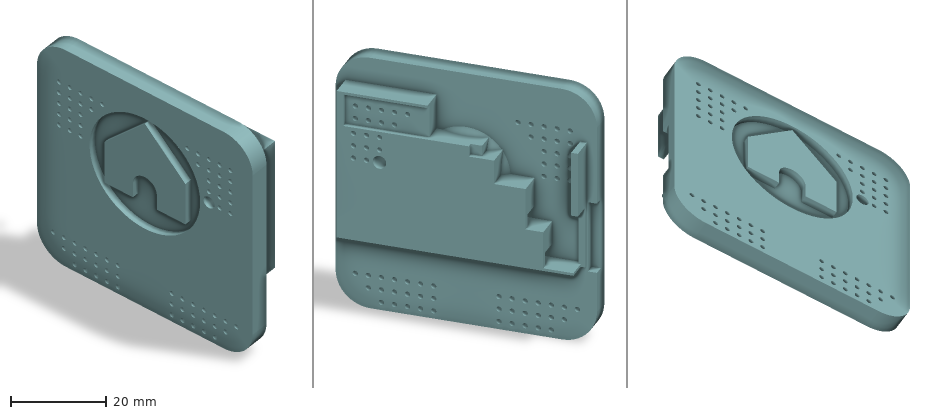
import cadquery as cq

PLATE_WIDTH = 58.5
PLATE_HEIGHT = 59.0
PLATE_THICKNESS = 4.6
CORNER_RADIUS = 7.8
CENTER_X = PLATE_WIDTH / 2

RECESS_DIAMETER = 30.0
RECESS_DEPTH = 1.8
RECESS_Z = 36.5
HOUSE_HALF_WIDTH = 11.0
HOUSE_BASE_Z = 28.4
HOUSE_WALL_HEIGHT = 11.0
HOUSE_EAVES_Z = HOUSE_BASE_Z + HOUSE_WALL_HEIGHT
HOUSE_APEX_Z = 50.1
DOOR_RADIUS = 3.25
DOOR_ARCH_Z = 32.3

HOLE_DIAMETER = 1.2
HOLE_PITCH = PLATE_WIDTH / 20
UPPER_ROW_Z = 49.4
UPPER_OUTER_OFFSET = 23.25
UPPER_ROW_COUNTS = (5, 4, 3, 3, 3)
LOWER_ROW_Z = 7.65
LOWER_INNER_OFFSET = 2.5 * HOLE_PITCH
LOWER_ROW_COUNTS = (7, 6, 5)
SENSOR_DIAMETER = 3.0
SENSOR_COLUMN = 2
SENSOR_ROW = 4

NOTCH_DEPTH_X = 2.0
NOTCH_DEPTH_Y = PLATE_THICKNESS / 2
NOTCH_BOTTOM_Z = 17.0
NOTCH_TOP_Z = 33.3

BACK_Y = 10.2
LEDGE_Y = 9.0
HOUSING_WIDTH = 54.0
HOUSING_LEFT_X = CENTER_X - HOUSING_WIDTH / 2
HOUSING_RIGHT_X = CENTER_X + HOUSING_WIDTH / 2
HOUSING_BOTTOM_Z = 18.4
HOUSING_TOP_Z = 52.9
SIDE_WALL = 1.5
RIM_WALL = 0.6
INNER_LEFT_X = HOUSING_LEFT_X + SIDE_WALL
FLOOR_Z = HOUSING_BOTTOM_Z + RIM_WALL
LEFT_WALL_TOP_Z = 47.3
FULL_HEIGHT_X = 35.9

WINDOW_SILL_Y = 5.7
WINDOW_TOP_Z = 32.5
WINDOW_DEPTH_X = 1.0

STEP_1_X = 10.0
STEP_2_X = 13.95
STEP_3_X = 21.0
STEP_4_FRONT_X = 24.1
STEP_4_BACK_X = 26.65
FOOT_TOP_Z = 22.2
ARM_TOP_Z = 27.5
UNDERCUT_TOP_Z = 30.5
STEP_2_TOP_Z = 37.0
STEP_3_TOP_Z = 42.5
STEP_4_TOP_Z = 44.9

DOME_SPHERE_RADIUS = 15.0
DOME_BASE_RADIUS = 9.9
DOME_CENTER_Y = PLATE_THICKNESS - (DOME_SPHERE_RADIUS**2 - DOME_BASE_RADIUS**2) ** 0.5


def block(x_range, y_range, z_range):
    """Box between two limits along each axis."""
    size = [high - low for low, high in (x_range, y_range, z_range)]
    corner = (x_range[0], y_range[0], z_range[0])
    return cq.Workplane("XY").box(*size, centered=False).translate(corner)


def front_sketch():
    """Plane at Y = 0 whose local axes are X and Z; a negative extrusion runs toward +Y."""
    return cq.Workplane("XZ")


def make_plate():
    plate = block((0, PLATE_WIDTH), (0, PLATE_THICKNESS), (0, PLATE_HEIGHT))
    plate = plate.edges("|Y").fillet(CORNER_RADIUS)
    notch = block(
        (0, NOTCH_DEPTH_X),
        (PLATE_THICKNESS - NOTCH_DEPTH_Y, PLATE_THICKNESS),
        (NOTCH_BOTTOM_Z, NOTCH_TOP_Z),
    )
    return plate.cut(notch)


def make_house():
    return (
        front_sketch()
        .moveTo(CENTER_X - HOUSE_HALF_WIDTH, HOUSE_BASE_Z)
        .lineTo(CENTER_X - HOUSE_HALF_WIDTH, HOUSE_EAVES_Z)
        .lineTo(CENTER_X, HOUSE_APEX_Z)
        .lineTo(CENTER_X + HOUSE_HALF_WIDTH, HOUSE_EAVES_Z)
        .lineTo(CENTER_X + HOUSE_HALF_WIDTH, HOUSE_BASE_Z)
        .lineTo(CENTER_X + DOOR_RADIUS, HOUSE_BASE_Z)
        .lineTo(CENTER_X + DOOR_RADIUS, DOOR_ARCH_Z)
        .threePointArc((CENTER_X, DOOR_ARCH_Z + DOOR_RADIUS), (CENTER_X - DOOR_RADIUS, DOOR_ARCH_Z))
        .lineTo(CENTER_X - DOOR_RADIUS, HOUSE_BASE_Z)
        .close()
        .extrude(-RECESS_DEPTH)
    )


def make_recess():
    """Volume of the recess with the house left out of it."""
    disc = front_sketch().center(CENTER_X, RECESS_Z).circle(RECESS_DIAMETER / 2).extrude(-RECESS_DEPTH)
    return disc.cut(make_house())


def make_core():
    """Stepped mass that leaves the area behind the left upper perforation free."""
    front = (PLATE_THICKNESS, LEDGE_Y)
    back = (LEDGE_Y, BACK_Y)
    steps = (
        (STEP_2_X, front, FLOOR_Z, FOOT_TOP_Z),
        (STEP_1_X, front, FOOT_TOP_Z, ARM_TOP_Z),
        (STEP_3_X, front, ARM_TOP_Z, UNDERCUT_TOP_Z),
        (STEP_2_X, front, UNDERCUT_TOP_Z, STEP_2_TOP_Z),
        (STEP_3_X, front, STEP_2_TOP_Z, STEP_3_TOP_Z),
        (STEP_4_FRONT_X, front, STEP_3_TOP_Z, STEP_4_TOP_Z),
        (STEP_1_X, back, FLOOR_Z, ARM_TOP_Z),
        (STEP_2_X, back, ARM_TOP_Z, STEP_2_TOP_Z),
        (STEP_3_X, back, STEP_2_TOP_Z, STEP_3_TOP_Z),
        (STEP_4_BACK_X, back, STEP_3_TOP_Z, STEP_4_TOP_Z),
    )
    core = None
    for left_x, depth, bottom_z, top_z in steps:
        step = block((left_x, FULL_HEIGHT_X), depth, (bottom_z, top_z))
        core = step if core is None else core.union(step)
    return core


def make_housing():
    depth = (PLATE_THICKNESS, BACK_Y)
    left_wall = block((HOUSING_LEFT_X, INNER_LEFT_X), depth, (HOUSING_BOTTOM_Z, LEFT_WALL_TOP_Z))
    bottom_wall = block((HOUSING_LEFT_X, FULL_HEIGHT_X), depth, (HOUSING_BOTTOM_Z, FLOOR_Z))
    full_block = block((FULL_HEIGHT_X, HOUSING_RIGHT_X), depth, (HOUSING_BOTTOM_Z, HOUSING_TOP_Z))
    back_rebate = block(
        (FULL_HEIGHT_X, HOUSING_RIGHT_X - SIDE_WALL),
        (LEDGE_Y, BACK_Y),
        (STEP_4_TOP_Z, HOUSING_TOP_Z - RIM_WALL),
    )
    window_depth = (WINDOW_SILL_Y, BACK_Y)
    window_outer = block(
        (HOUSING_LEFT_X, HOUSING_LEFT_X + WINDOW_DEPTH_X), window_depth, (HOUSING_BOTTOM_Z, WINDOW_TOP_Z)
    )
    window_inner = block((HOUSING_LEFT_X, INNER_LEFT_X), window_depth, (FLOOR_Z, WINDOW_TOP_Z))
    housing = left_wall.union(bottom_wall).union(make_core()).union(full_block)
    return housing.cut(back_rebate).cut(window_outer).cut(window_inner)


def make_dome():
    sphere = cq.Workplane("XY").sphere(DOME_SPHERE_RADIUS)
    sphere = sphere.translate((CENTER_X, DOME_CENTER_Y, RECESS_Z))
    keep = block((0, PLATE_WIDTH), (PLATE_THICKNESS, BACK_Y), (0, PLATE_HEIGHT))
    return sphere.intersect(keep)


def perforation_points():
    """Centres of the small holes; the sensor opening replaces one on the right."""
    points = []
    for side in (-1, 1):
        for row, count in enumerate(UPPER_ROW_COUNTS):
            for column in range(count):
                if side == 1 and (column, row) == (SENSOR_COLUMN, SENSOR_ROW):
                    continue
                offset = UPPER_OUTER_OFFSET - column * HOLE_PITCH
                points.append((CENTER_X + side * offset, UPPER_ROW_Z - row * HOLE_PITCH))
        for row, count in enumerate(LOWER_ROW_COUNTS):
            for column in range(count):
                offset = LOWER_INNER_OFFSET + column * HOLE_PITCH
                points.append((CENTER_X + side * offset, LOWER_ROW_Z - row * HOLE_PITCH))
    return points


def make_openings():
    """Perforation and sensor opening, through the full depth of the part."""
    holes = front_sketch().pushPoints(perforation_points()).circle(HOLE_DIAMETER / 2).extrude(-BACK_Y)
    sensor_x = CENTER_X + UPPER_OUTER_OFFSET - SENSOR_COLUMN * HOLE_PITCH
    sensor_z = UPPER_ROW_Z - SENSOR_ROW * HOLE_PITCH
    sensor = front_sketch().center(sensor_x, sensor_z).circle(SENSOR_DIAMETER / 2).extrude(-BACK_Y)
    return holes.union(sensor)


body = make_plate().union(make_housing()).union(make_dome())
result = body.cut(make_recess()).cut(make_openings())